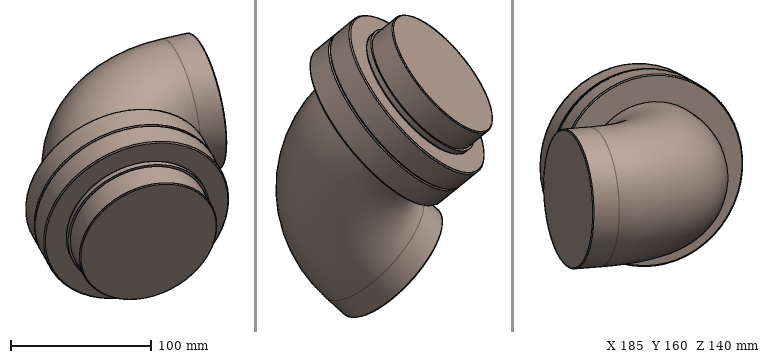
import cadquery as cq

pipe_diameter = 100.0
pipe_radius = pipe_diameter / 2
bend_radius = 70.0
spigot_length = 20.0

flange_diameter = 140.0
flange_thickness = 20.0
flange_chamfer = 1.0

overall_length = 185.0
collar_diameter = 107.3
collar_length = 5.0
collar_chamfer = 1.0
stub_diameter = 104.0
end_chamfer = 0.7

elbow_flange_x = bend_radius
joint_x = elbow_flange_x + flange_thickness
collar_x = joint_x + flange_thickness
collar_end_x = collar_x + collar_length
stub_end_x = overall_length - pipe_radius


def disc(start_x, end_x, diameter):
    """Cylinder on the X axis between two positions."""
    return cq.Workplane("YZ", origin=(start_x, 0, 0)).circle(diameter / 2).extrude(end_x - start_x)


def make_flange(start_x):
    """Flange ring with both rims chamfered."""
    flange = disc(start_x, start_x + flange_thickness, flange_diameter)
    return flange.edges().chamfer(flange_chamfer)


def make_elbow():
    """Quarter bend from the flange to a straight spigot pointing along +Y."""
    bend = (
        cq.Workplane("YZ", origin=(elbow_flange_x, 0, 0))
        .circle(pipe_radius)
        .revolve(90, (bend_radius, 1.8, 0), (bend_radius, 0, 0))
    )
    spigot = (
        cq.Workplane("XZ", origin=(0, bend_radius, 0))
        .circle(pipe_radius)
        .extrude(-spigot_length)
        .faces(">Y")
        .chamfer(end_chamfer)
    )
    return bend.union(spigot).union(make_flange(elbow_flange_x))


def make_flanged_stub():
    """Mating flange with a short collar and a plain stub."""
    collar = disc(collar_x, collar_end_x, collar_diameter).faces("<X").chamfer(collar_chamfer)
    stub = disc(collar_x, stub_end_x, stub_diameter).faces(">X").chamfer(end_chamfer)
    return make_flange(joint_x).union(collar).union(stub)


elbow = make_elbow()
flanged_stub = make_flanged_stub()

result = cq.Compound.makeCompound([elbow.val(), flanged_stub.val()])